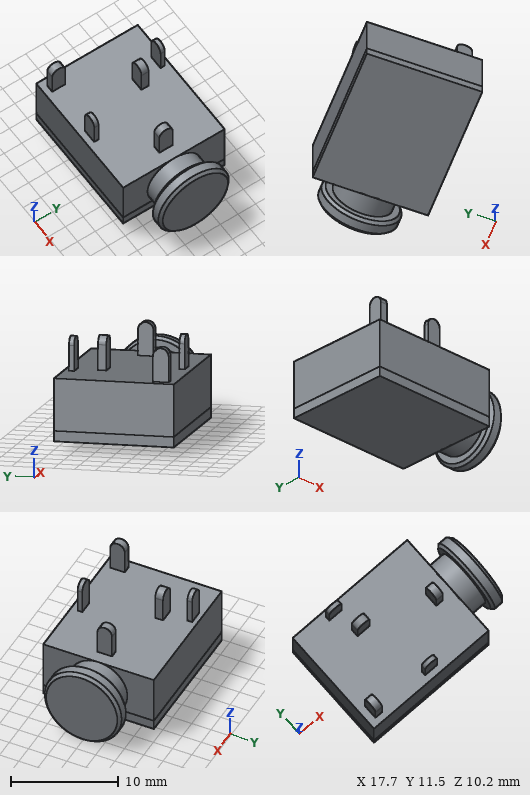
import cadquery as cq

BODY_LENGTH = 14.2
BODY_WIDTH = 11.5
BODY_HEIGHT = 6.0
COVER_THICKNESS = 1.01

TOTAL_LENGTH = 17.7
NECK_DIAMETER = BODY_HEIGHT
COLLAR_DIAMETER = 8.0
COLLAR_WIDTH = 1.5
COLLAR_CHAMFER = 0.3
AXIS_HEIGHT = BODY_HEIGHT / 2

PIN_HEIGHT = 3.2
PIN_WIDTH = 1.5
THICK_PIN = 0.81
THIN_PIN = 0.5

PINS = [
    (4.42, 5.0, THIN_PIN, False),
    (5.42, 2.3, THICK_PIN, False),
    (12.5, 0.0, THICK_PIN, True),
    (1.2, -4.3, THICK_PIN, True),
    (7.7, -4.8, THIN_PIN, False),
]


def block(bottom, height):
    """Rectangular block with the housing's footprint."""
    return (
        cq.Workplane("XY")
        .box(BODY_LENGTH, BODY_WIDTH, height, centered=(False, True, False))
        .translate((0, 0, bottom))
    )


def round_bar(start_x, length, diameter):
    """Cylinder along the X axis of the neck."""
    return (
        cq.Workplane("YZ", origin=(start_x, 0, AXIS_HEIGHT))
        .circle(diameter / 2)
        .extrude(length)
    )


def make_pin(x, y, thickness, faces_x):
    """Flat pin with a fully rounded tip."""
    half_width = PIN_WIDTH / 2
    shoulder = PIN_HEIGHT - half_width
    pin = (
        cq.Workplane("XZ")
        .moveTo(-half_width, 0)
        .lineTo(half_width, 0)
        .lineTo(half_width, shoulder)
        .threePointArc((0, PIN_HEIGHT), (-half_width, shoulder))
        .close()
        .extrude(thickness / 2, both=True)
    )
    if faces_x:
        pin = pin.rotate((0, 0, 0), (0, 0, 1), 90)
    return pin.translate((x, y, BODY_HEIGHT))


def make_housing():
    """Housing block with its neck, chamfered collar and pins."""
    collar_start = TOTAL_LENGTH - COLLAR_WIDTH
    neck = round_bar(BODY_LENGTH, collar_start - BODY_LENGTH, NECK_DIAMETER)
    collar = round_bar(collar_start, COLLAR_WIDTH, COLLAR_DIAMETER).edges().chamfer(COLLAR_CHAMFER)
    housing = block(COVER_THICKNESS, BODY_HEIGHT - COVER_THICKNESS).union(neck).union(collar)
    for pin in PINS:
        housing = housing.union(make_pin(*pin))
    return housing


def make_cover():
    """Flat plate closing the bottom of the housing."""
    return block(0, COVER_THICKNESS)


housing = make_housing()
cover = make_cover()
result = cq.Compound.makeCompound([housing.val(), cover.val()])